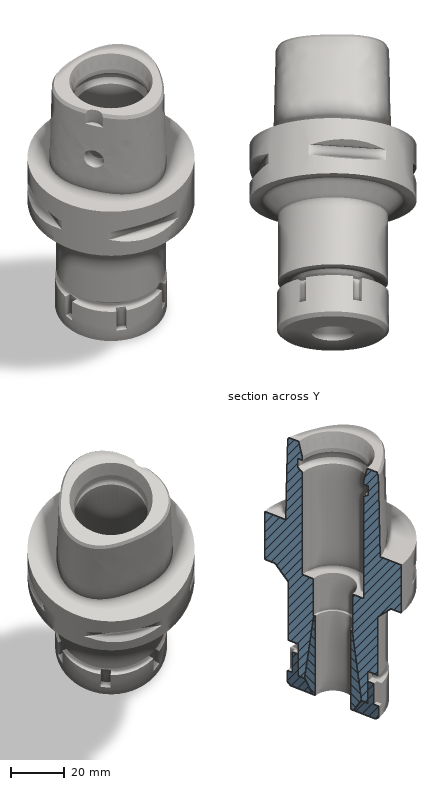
import cadquery as cq
import math

TOTAL_HEIGHT = 113.0
FLANGE_TOP = 75.0
FLANGE_BOTTOM = 53.0
BODY_BOTTOM = 20.3
NUT_TOP = 15.9

FLANGE_RADIUS = 31.5
BODY_RADIUS = 20.8
NECK_CONE_RADIUS = 26.7
NOSE_RADIUS = 16.0

SHANK_RADIUS = 21.9
LOBE_HEIGHT = 1.5
LOBE_COUNT = 3
LOBE_ANGLE = 90.0
SHANK_TAPER = 0.025
SHANK_CHAMFER_HEIGHT = 1.4
SHANK_CHAMFER_INSET = 0.8
OUTLINE_POINTS = 48

MOUTH_RADIUS = 15.7
BORE_RADIUS = 14.0
MOUTH_DEPTH = 6.4
GROOVE_TOP_DEPTH = 8.1
GROOVE_RADIUS = 16.2
GROOVE_BOTTOM_DEPTH = 12.0
GROOVE_CONE_DEPTH = 13.6
PASSAGE_RADIUS = 9.0

NOTCH_RADIUS = 4.3
NOTCH_INNER_Y = -17.7
NOTCH_DEPTH = 6.2
SIDE_HOLE_RADIUS = 4.1
SIDE_HOLE_HEIGHT = 90.5
SIDE_HOLE_FLOOR_Y = -14.5

GRIP_COUNT = 4
GRIP_FIRST_ANGLE = 45.0
GRIP_FLOOR_DISTANCE = 27.8
GRIP_FLOOR_BOTTOM = 60.8
GRIP_FLOOR_TOP = 65.0
GRIP_FLARE_DISTANCE = 28.5
GRIP_FLARE_ANGLE = 30.0

SEAT_HALF_ANGLE = 8.0
FRONT_CONE_ANGLE = 30.0
COLLET_SHOULDER_RADIUS = 13.0
COLLET_REAR_RADIUS = 8.7
COLLET_BORE_RADIUS = 8.0
NOSE_BOTTOM = 5.8

SEAT_LENGTH = (COLLET_SHOULDER_RADIUS - COLLET_REAR_RADIUS) / math.tan(math.radians(SEAT_HALF_ANGLE))
COLLET_TOP = NOSE_BOTTOM + SEAT_LENGTH
COLLET_FACE_RADIUS = COLLET_SHOULDER_RADIUS - NOSE_BOTTOM * math.tan(math.radians(FRONT_CONE_ANGLE))

NUT_RADIUS = 21.1
NUT_CHAMFER_HEIGHT = 1.4
NUT_CHAMFER_INSET = 1.6
NUT_SLOT_COUNT = 6
NUT_SLOT_WIDTH = 3.8
NUT_SLOT_FLOOR_DISTANCE = 18.8
NUT_SLOT_BOTTOM = 6.5


def revolved(profile):
    """Turn (radius, height) points about the Z axis into a solid."""
    return cq.Workplane("XZ").polyline(profile).close().revolve(360, (0, 0, 0), (0, 1, 0))


def lobed_wire(mean_radius, height):
    """Closed three-lobed outline at one height."""
    points = []
    for i in range(OUTLINE_POINTS):
        angle = math.radians(360.0 * i / OUTLINE_POINTS - LOBE_ANGLE)
        radius = mean_radius + LOBE_HEIGHT * math.cos(LOBE_COUNT * (angle - math.radians(LOBE_ANGLE)))
        points.append(cq.Vector(radius * math.cos(angle), radius * math.sin(angle), height))
    return cq.Wire.assembleEdges([cq.Edge.makeSpline(points, periodic=True)])


def make_shank():
    """Tapered shank with a chamfered top edge."""
    chamfer_start = TOTAL_HEIGHT - SHANK_CHAMFER_HEIGHT
    upper_radius = SHANK_RADIUS - SHANK_TAPER * (chamfer_start - FLANGE_TOP)
    base = lobed_wire(SHANK_RADIUS, FLANGE_TOP)
    shoulder = lobed_wire(upper_radius, chamfer_start)
    top = lobed_wire(upper_radius - SHANK_CHAMFER_INSET, TOTAL_HEIGHT)
    taper = cq.Solid.makeLoft([base, shoulder], True)
    chamfer = cq.Solid.makeLoft([shoulder, top], True)
    return cq.Workplane(taper).union(cq.Workplane(chamfer))


def make_turned_body():
    """Flange, neck cone, cylindrical body and nose."""
    cone_bottom = FLANGE_BOTTOM - (NECK_CONE_RADIUS - BODY_RADIUS)
    return revolved([
        (0, FLANGE_TOP),
        (FLANGE_RADIUS, FLANGE_TOP),
        (FLANGE_RADIUS, FLANGE_BOTTOM),
        (NECK_CONE_RADIUS, FLANGE_BOTTOM),
        (BODY_RADIUS, cone_bottom),
        (BODY_RADIUS, BODY_BOTTOM),
        (NOSE_RADIUS, BODY_BOTTOM),
        (NOSE_RADIUS, NOSE_BOTTOM),
        (0, NOSE_BOTTOM),
    ])


def holder_cavity():
    """Stepped bore, passage and collet seat that run through the holder."""
    return revolved([
        (0, TOTAL_HEIGHT),
        (MOUTH_RADIUS, TOTAL_HEIGHT),
        (BORE_RADIUS, TOTAL_HEIGHT - MOUTH_DEPTH),
        (BORE_RADIUS, TOTAL_HEIGHT - GROOVE_TOP_DEPTH),
        (GROOVE_RADIUS, TOTAL_HEIGHT - GROOVE_TOP_DEPTH),
        (GROOVE_RADIUS, TOTAL_HEIGHT - GROOVE_BOTTOM_DEPTH),
        (BORE_RADIUS, TOTAL_HEIGHT - GROOVE_CONE_DEPTH),
        (BORE_RADIUS, FLANGE_BOTTOM),
        (PASSAGE_RADIUS, FLANGE_BOTTOM),
        (PASSAGE_RADIUS, COLLET_TOP),
        (COLLET_REAR_RADIUS, COLLET_TOP),
        (COLLET_SHOULDER_RADIUS, NOSE_BOTTOM),
        (0, NOSE_BOTTOM),
    ])


def key_notch():
    """Upright round cutter that leaves the notch in the shank's top edge."""
    return (
        cq.Workplane("XY", origin=(0, NOTCH_INNER_Y - NOTCH_RADIUS, TOTAL_HEIGHT - NOTCH_DEPTH))
        .circle(NOTCH_RADIUS)
        .extrude(NOTCH_DEPTH)
    )


def side_hole():
    """Flat-bottomed hole into the -Y side of the shank, stopping just short of the bore."""
    return (
        cq.Workplane("XZ", origin=(0, SIDE_HOLE_FLOOR_Y, SIDE_HOLE_HEIGHT))
        .circle(SIDE_HOLE_RADIUS)
        .extrude(FLANGE_RADIUS)
    )


def grip_groove(angle):
    """Flat-floored groove whose sides run straight and then flare, cut straight across the flange."""
    flare = (FLANGE_RADIUS - GRIP_FLARE_DISTANCE) * math.tan(math.radians(GRIP_FLARE_ANGLE))
    section = [
        (GRIP_FLOOR_DISTANCE, GRIP_FLOOR_BOTTOM),
        (GRIP_FLARE_DISTANCE, GRIP_FLOOR_BOTTOM),
        (FLANGE_RADIUS, GRIP_FLOOR_BOTTOM - flare),
        (FLANGE_RADIUS, GRIP_FLOOR_TOP + flare),
        (GRIP_FLARE_DISTANCE, GRIP_FLOOR_TOP),
        (GRIP_FLOOR_DISTANCE, GRIP_FLOOR_TOP),
    ]
    groove = cq.Workplane("XZ").polyline(section).close().extrude(FLANGE_RADIUS, both=True)
    return groove.rotate((0, 0, 0), (0, 0, 1), angle)


def make_holder():
    holder = make_turned_body().union(make_shank()).cut(holder_cavity())
    holder = holder.cut(key_notch()).cut(side_hole())
    for i in range(GRIP_COUNT):
        holder = holder.cut(grip_groove(GRIP_FIRST_ANGLE + i * 360.0 / GRIP_COUNT))
    return holder


def make_collet():
    """Double-tapered sleeve held between the holder's seat and the nut."""
    return revolved([
        (COLLET_BORE_RADIUS, 0),
        (COLLET_FACE_RADIUS, 0),
        (COLLET_SHOULDER_RADIUS, NOSE_BOTTOM),
        (COLLET_REAR_RADIUS, COLLET_TOP),
        (COLLET_BORE_RADIUS, COLLET_TOP),
    ])


def nut_slot(angle):
    """Spanner slot, open at the top and at the outside of the nut."""
    length = NUT_RADIUS - NUT_SLOT_FLOOR_DISTANCE
    slot = cq.Workplane("XY").box(
        length, NUT_SLOT_WIDTH, NUT_TOP - NUT_SLOT_BOTTOM, centered=(False, True, False)
    )
    slot = slot.translate((NUT_SLOT_FLOOR_DISTANCE, 0, NUT_SLOT_BOTTOM))
    return slot.rotate((0, 0, 0), (0, 0, 1), angle)


def make_nut():
    """Nut around the nose, with a conical mouth that grips the front of the collet."""
    nut = revolved([
        (COLLET_FACE_RADIUS, 0),
        (NUT_RADIUS - NUT_CHAMFER_INSET, 0),
        (NUT_RADIUS, NUT_CHAMFER_HEIGHT),
        (NUT_RADIUS, NUT_TOP),
        (NOSE_RADIUS, NUT_TOP),
        (NOSE_RADIUS, NOSE_BOTTOM),
        (COLLET_SHOULDER_RADIUS, NOSE_BOTTOM),
    ])
    for i in range(NUT_SLOT_COUNT):
        nut = nut.cut(nut_slot(i * 360.0 / NUT_SLOT_COUNT))
    return nut


holder = make_holder()
collet = make_collet()
nut = make_nut()

result = cq.Compound.makeCompound([holder.val(), collet.val(), nut.val()])